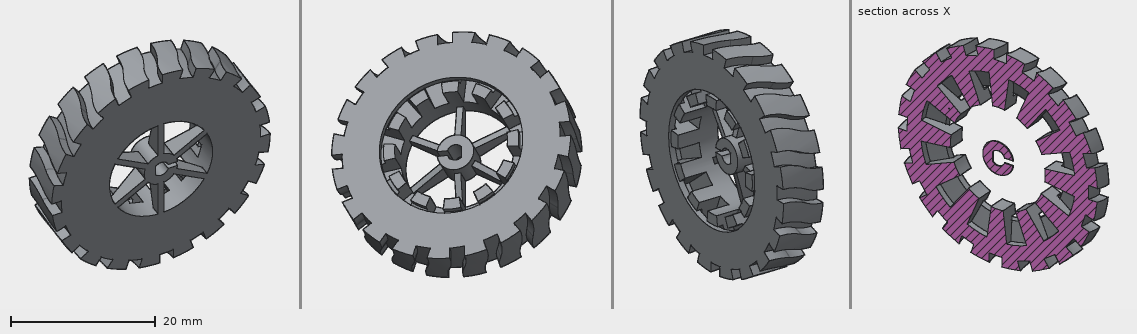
import cadquery as cq

wheel_width = 6.85
wheel_radius = 17.0
cut_margin = 0.35

groove_count = 20
groove_width = 2.1
groove_floor_radius = 15.5
groove_start = 1.9
wave_split = 3.9
wave_shift = 1.7
wave_drop = wave_shift * wave_split / wheel_width

lip_radius = 10.2
lip_thickness = 1.02
cavity_radius = 26.25 / 2
web_face = 3.6
rim_radius = 16.05 / 2

tooth_count = 12
tooth_angle = 180.0 / tooth_count
gap_angle = 360.0 / tooth_count - tooth_angle
tooth_offset = 0.8
tooth_tip_radius = 9.62
tooth_tip_length = 0.9

hub_radius = 2.62
hub_face = 2.55
bore_radius = 1.15
bore_flat = 0.85
slot_width = 0.7

spoke_count = 6
spoke_width = 0.92
spoke_hub_face = 3.88
spoke_rim_face = 5.35


def cylinder(radius, start, end):
    """Cylinder about the X axis between two X positions."""
    return cq.Workplane("YZ").workplane(offset=start).circle(radius).extrude(end - start)


def ring_copies(body, count):
    """Copies of a body spaced evenly about the X axis."""
    return [body.rotate((0, 0, 0), (1, 0, 0), i * 360.0 / count) for i in range(count)]


def arc_radius(length, drop):
    """Radius of an arc that leaves one end parallel to its length."""
    return (length**2 + drop**2) / (2 * drop)


def tread_groove():
    """S-shaped groove cutter at the top of the tyre, with a floor concentric to the axle."""
    first_radius = arc_radius(wave_split, wave_drop)
    second_radius = arc_radius(wheel_width - wave_split, wave_shift - wave_drop)
    near = groove_start
    far = groove_start - groove_width
    prism = (
        cq.Workplane("XY")
        .moveTo(0, near)
        .radiusArc((wave_split, near - wave_drop), first_radius)
        .radiusArc((wheel_width, near - wave_shift), -second_radius)
        .lineTo(wheel_width, far - wave_shift)
        .radiusArc((wave_split, far - wave_drop), second_radius)
        .radiusArc((0, far), -first_radius)
        .close()
        .extrude(wheel_radius + cut_margin)
    )
    return prism.cut(cylinder(groove_floor_radius, 0, wheel_width))


def wheel_ring():
    """Tyre and rim, with the teeth still joined as one ring inside a shallow annular notch."""
    return (
        cq.Workplane("XY")
        .moveTo(0, rim_radius)
        .lineTo(0, tooth_tip_radius)
        .lineTo(tooth_tip_length, tooth_tip_radius)
        .lineTo(lip_thickness, lip_radius)
        .lineTo(0, lip_radius)
        .lineTo(0, wheel_radius)
        .lineTo(wheel_width, wheel_radius)
        .lineTo(wheel_width, rim_radius)
        .close()
        .revolve(360, (0, 0, 0), (1, 0, 0))
    )


def tooth_gap():
    """Sector cutter for one gap, cut from the bore outward and undercutting the lip."""
    notch_middle = (tooth_tip_radius + lip_radius) / 2
    lip_slope = (lip_thickness - tooth_tip_length) / (lip_radius - tooth_tip_radius)
    lip_root = lip_thickness + lip_slope * (cavity_radius - lip_radius)
    inner_radius = rim_radius - cut_margin
    gap_start = tooth_angle / 2 - tooth_offset
    return (
        cq.Workplane("XY")
        .moveTo(-cut_margin, inner_radius)
        .lineTo(-cut_margin, notch_middle)
        .lineTo(lip_thickness, lip_radius)
        .lineTo(lip_root, cavity_radius)
        .lineTo(web_face, cavity_radius)
        .lineTo(web_face, inner_radius)
        .close()
        .revolve(gap_angle, (0, 0, 0), (1, 0, 0))
        .rotate((0, 0, 0), (1, 0, 0), gap_start)
    )


def spoke():
    """Tapered spoke toward +Z whose front edge falls back toward the rim."""
    embed_radius = rim_radius + cut_margin
    slope = (spoke_rim_face - spoke_hub_face) / (rim_radius - hub_radius)
    hub_end = (bore_radius + hub_radius) / 2
    return (
        cq.Workplane("XZ")
        .moveTo(spoke_hub_face + slope * (hub_end - hub_radius), hub_end)
        .lineTo(spoke_rim_face + slope * (embed_radius - rim_radius), embed_radius)
        .lineTo(wheel_width, embed_radius)
        .lineTo(wheel_width, hub_end)
        .close()
        .extrude(spoke_width / 2, both=True)
    )


def hub_opening():
    """D-shaped bore with a slot breaking out toward +Y."""
    length = wheel_width - hub_face
    slot_length = hub_radius + cut_margin
    bore_middle = hub_face + length / 2
    flat_trim = cq.Workplane("XY").box(length, 2 * bore_radius, 2 * bore_radius)
    bore = cylinder(bore_radius, hub_face, wheel_width)
    bore = bore.intersect(flat_trim.translate((bore_middle, bore_radius - bore_flat, 0)))
    slot = cq.Workplane("XY").box(length, slot_length, slot_width)
    return bore.union(slot.translate((bore_middle, slot_length / 2, 0)))


result = wheel_ring()
for cutter in ring_copies(tread_groove(), groove_count) + ring_copies(tooth_gap(), tooth_count):
    result = result.cut(cutter)
for arm in ring_copies(spoke(), spoke_count):
    result = result.union(arm)
result = result.union(cylinder(hub_radius, hub_face, wheel_width))
result = result.cut(hub_opening())